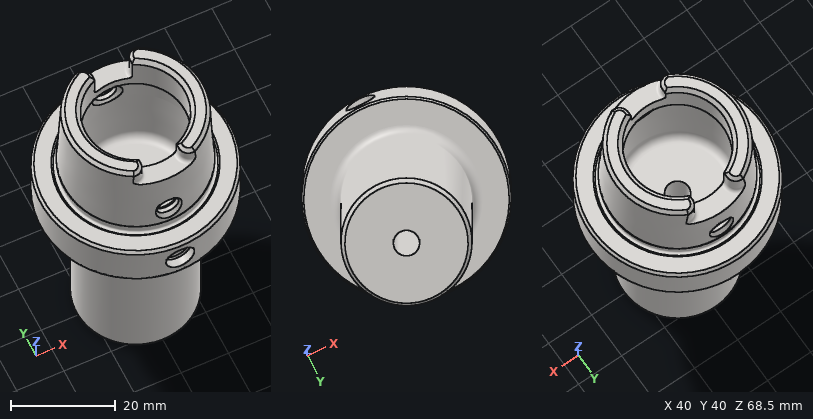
import cadquery as cq
import math


taper_length = 20.0
taper_base_diameter = 30.3
taper_ratio = 9.98
collar_bottom = 1.8
collar_chamfer_height = 0.4
neck_diameter = 29.91

relief_outer_diameter = 32.2
relief_depth = 0.35
relief_fillet = 0.4

flange_diameter = 40.0
flange_thickness = 10.0
flange_top_chamfer = 0.6
flange_bottom_chamfer = 0.4

shank_diameter = 25.0
total_length = 68.5
shank_root_fillet = 2.0
shank_chamfer_height = 1.0
shank_chamfer_width = 0.75

bore_diameter = 21.0
bore_depth = 8.0
mouth_chamfer = 0.9
undercut_diameter = 25.5
shoulder_angle = 30.0
hollow_floor_diameter = 20.0
hollow_floor_fillet = 2.0
hollow_depth = 30.0
undercut_end = 4.1
coolant_diameter = 5.0

notch_width = 8.0
notch_front_depth = 3.6
notch_back_depth = 5.9
drive_flat_distance = 12.75
notch_corner_radius = 2.0
notch_floor_fillet = 0.9
rim_chamfer = 0.75

clamp_hole_diameter = 4.6
clamp_hole_height = 6.0
clamp_sink_diameter = 6.0
clamp_inner_sink_diameter = 5.6
sink_overrun = 0.5
flange_hole_diameter = 6.0
flange_hole_depth = 2.2
flange_hole_floor_chamfer = 0.35

flange_radius = flange_diameter / 2
shank_radius = shank_diameter / 2
shank_end = taper_length - total_length


def taper_radius(height):
    """Outer radius of the taper at a height above the contact face."""
    return taper_base_diameter / 2 - (height - collar_bottom) / taper_ratio / 2


def make_body():
    """Revolve the outer profile about the Z axis."""
    neck_radius = neck_diameter / 2
    relief_radius = relief_outer_diameter / 2
    return (
        cq.Workplane("XZ")
        .moveTo(0, taper_length)
        .lineTo(taper_radius(taper_length), taper_length)
        .lineTo(taper_radius(collar_bottom), collar_bottom)
        .lineTo(neck_radius, collar_bottom - collar_chamfer_height)
        .lineTo(neck_radius, relief_fillet - relief_depth)
        .radiusArc((neck_radius + relief_fillet, -relief_depth), -relief_fillet)
        .lineTo(relief_radius - relief_depth, -relief_depth)
        .lineTo(relief_radius, 0)
        .lineTo(flange_radius - flange_top_chamfer, 0)
        .lineTo(flange_radius, -flange_top_chamfer)
        .lineTo(flange_radius, flange_bottom_chamfer - flange_thickness)
        .lineTo(flange_radius - flange_bottom_chamfer, -flange_thickness)
        .lineTo(shank_radius + shank_root_fillet, -flange_thickness)
        .radiusArc((shank_radius, -flange_thickness - shank_root_fillet), -shank_root_fillet)
        .lineTo(shank_radius, shank_end + shank_chamfer_height)
        .lineTo(shank_radius - shank_chamfer_width, shank_end)
        .lineTo(0, shank_end)
        .close()
        .revolve(360, (0, 0, 0), (0, 1, 0))
    )


def make_hollow():
    """Bore, clamping groove narrowing to a rounded floor, and coolant hole, revolved about Z."""
    bore_radius = bore_diameter / 2
    undercut_radius = undercut_diameter / 2
    floor_radius = hollow_floor_diameter / 2
    coolant_radius = coolant_diameter / 2
    shoulder = taper_length - bore_depth
    floor = taper_length - hollow_depth
    shoulder_drop = (undercut_radius - bore_radius) * math.tan(math.radians(shoulder_angle))
    return (
        cq.Workplane("XZ")
        .moveTo(0, taper_length)
        .lineTo(bore_radius, taper_length)
        .lineTo(bore_radius, shoulder)
        .lineTo(undercut_radius, shoulder - shoulder_drop)
        .lineTo(undercut_radius, undercut_end)
        .lineTo(floor_radius + hollow_floor_fillet, floor + hollow_floor_fillet)
        .radiusArc((floor_radius, floor), hollow_floor_fillet)
        .lineTo(coolant_radius, floor)
        .lineTo(coolant_radius, shank_end)
        .lineTo(0, shank_end)
        .close()
        .revolve(360, (0, 0, 0), (0, 1, 0))
    )


def make_bore_mouth():
    """45 degree chamfer at the mouth of the bore."""
    bore_radius = bore_diameter / 2
    return (
        cq.Workplane("XZ")
        .moveTo(0, taper_length)
        .lineTo(bore_radius + mouth_chamfer, taper_length)
        .lineTo(bore_radius, taper_length - mouth_chamfer)
        .lineTo(0, taper_length - mouth_chamfer)
        .close()
        .revolve(360, (0, 0, 0), (0, 1, 0))
    )


def make_notch(depth, side):
    """Notch on the +Y (side = 1) or -Y (side = -1) wall, with its flanking drive flats."""
    half_width = notch_width / 2
    flat = side * drive_flat_distance
    outside = side * flange_radius
    bend = side * notch_corner_radius
    return (
        cq.Workplane("XY")
        .workplane(offset=taper_length - depth)
        .moveTo(-half_width, 0)
        .lineTo(half_width, 0)
        .lineTo(half_width, flat - bend)
        .radiusArc((half_width + notch_corner_radius, flat), bend)
        .lineTo(flange_radius, flat)
        .lineTo(flange_radius, outside)
        .lineTo(-flange_radius, outside)
        .lineTo(-flange_radius, flat)
        .lineTo(-half_width - notch_corner_radius, flat)
        .radiusArc((-half_width, flat - bend), bend)
        .close()
        .extrude(depth)
        .faces("<Z")
        .edges()
        .fillet(notch_floor_fillet)
    )


def make_clamp_hole(side):
    """Hole through the +Y (side = 1) or -Y (side = -1) wall, with a 45 degree sink at each mouth."""
    hole_radius = clamp_hole_diameter / 2
    outer_sink_radius = clamp_sink_diameter / 2
    inner_sink_radius = clamp_inner_sink_diameter / 2
    outer_mouth = taper_radius(clamp_hole_height)
    inner_mouth = undercut_diameter / 2
    inner_end = inner_mouth - sink_overrun
    outer_end = outer_mouth + sink_overrun
    return (
        cq.Workplane("XY", origin=(0, 0, clamp_hole_height))
        .moveTo(0, side * inner_end)
        .lineTo(inner_sink_radius + sink_overrun, side * inner_end)
        .lineTo(hole_radius, side * (inner_mouth + inner_sink_radius - hole_radius))
        .lineTo(hole_radius, side * (outer_mouth - outer_sink_radius + hole_radius))
        .lineTo(outer_sink_radius + sink_overrun, side * outer_end)
        .lineTo(0, side * outer_end)
        .close()
        .revolve(360, (0, 0, 0), (0, 1, 0))
    )


def make_flange_hole():
    """Blind hole with a chamfered floor in the -Y side of the flange rim."""
    floor = cq.Workplane("XZ", origin=(0, flange_hole_depth - flange_radius, -flange_thickness / 2))
    hole = floor.circle(flange_hole_diameter / 2).extrude(flange_hole_depth)
    return hole.faces(">Y").edges().chamfer(flange_hole_floor_chamfer)


body = make_body().cut(make_hollow())
body = body.cut(make_notch(notch_front_depth, -1)).cut(make_notch(notch_back_depth, 1))
body = body.faces(">Z").edges().chamfer(rim_chamfer)
body = body.cut(make_bore_mouth())
for wall_side in (1, -1):
    body = body.cut(make_clamp_hole(wall_side))
result = body.cut(make_flange_hole())